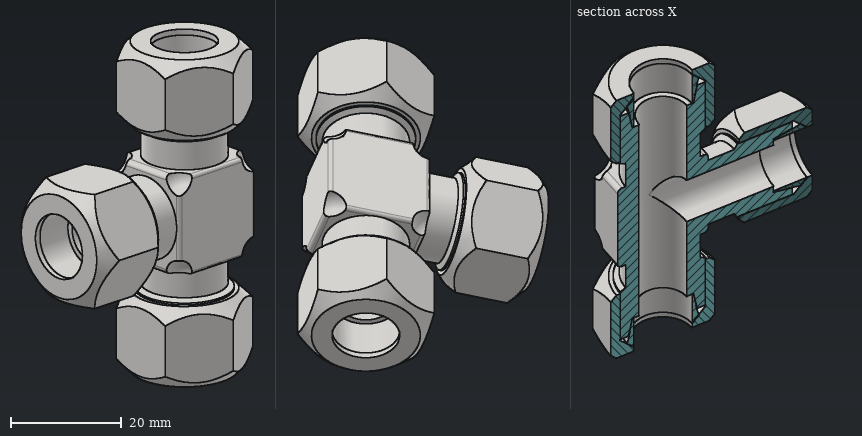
import cadquery as cq
import math


ARM_TURNS = (0, 90, 180)
ARM_REACH = 31.5

TUBE_DIAMETER = 12.2
BORE_DIAMETER = 10.0
TUBE_STOP = ARM_REACH - 8.15

BLOCK_WIDTH = 17.0
BLOCK_SIDE = 19.2
BLOCK_EDGE_RADIUS = 1.0
BLOCK_FACE_RADIUS = 0.7
CORNER_SCOOP_RADIUS = 3.35
STEM_DIAMETER = 15.8
THREAD_DIAMETER = 18.0
THREAD_END = 27.3
THREAD_OVERHANG = 0.35
RUNOUT_ANGLE = 30

NUT_FLATS = 22.0
NUT_LENGTH = 15.5
NUT_FACE_DIAMETER = 19.65
NUT_LIP = 1.15

CONE_HALF_ANGLE = 12
RING_TIP_WALL = 0.3

tube_radius = TUBE_DIAMETER / 2
bore_radius = BORE_DIAMETER / 2
stem_radius = STEM_DIAMETER / 2
thread_radius = THREAD_DIAMETER / 2
nut_corner_radius = NUT_FLATS / math.sqrt(3)
nut_face_radius = NUT_FACE_DIAMETER / 2
nut_base = ARM_REACH - NUT_LENGTH
ring_back = ARM_REACH - NUT_LIP
ring_tip_radius = tube_radius + RING_TIP_WALL
cone_slope = math.tan(math.radians(CONE_HALF_ANGLE))


def cone_radius(height):
    """Radius of the conical seat at a distance along the arm."""
    return ring_tip_radius + (height - TUBE_STOP) * cone_slope


def revolve_about_z(points):
    """Turn a closed (radius, height) outline about the Z axis."""
    return cq.Workplane("XZ").polyline(points).close().revolve(360, (0, 0), (0, 1))


def turn_to_arm(shape, turn):
    """Carry a shape built on the +Z arm to another arm."""
    return shape.rotate((0, 0, 0), (1, 0, 0), turn)


def make_block():
    """Forged centre block with rounded edges and a spherical scoop at each corner."""
    block = cq.Workplane("XY").box(BLOCK_WIDTH, BLOCK_SIDE, BLOCK_SIDE)
    corners = block.vertices().vals()
    block = block.edges("|X").fillet(BLOCK_EDGE_RADIUS)
    block = block.faces("<X or >X").edges().fillet(BLOCK_FACE_RADIUS)
    scoop = cq.Workplane("XY").sphere(CORNER_SCOOP_RADIUS).rotate((0, 0, 0), (0, 0, 1), 45)
    for corner in corners:
        block = block.cut(scoop.translate(corner.Center()))
    return block


def make_arm():
    """Solid arm from the centre of the tee: plain stem, thread runout and thread."""
    thread_start = nut_base - THREAD_OVERHANG
    runout = (thread_radius - stem_radius) * math.tan(math.radians(RUNOUT_ANGLE))
    return revolve_about_z([
        (0, 0),
        (stem_radius, 0),
        (stem_radius, thread_start - runout),
        (thread_radius, thread_start),
        (thread_radius, THREAD_END),
        (0, THREAD_END),
    ])


def make_arm_passage():
    """Bore of an arm, opening into the conical ring seat at the tube stop."""
    return revolve_about_z([
        (0, 0),
        (bore_radius, 0),
        (bore_radius, TUBE_STOP),
        (ring_tip_radius, TUBE_STOP),
        (cone_radius(THREAD_END), THREAD_END),
        (0, THREAD_END),
    ])


def make_tee():
    tee = make_block()
    for turn in ARM_TURNS:
        tee = tee.union(turn_to_arm(make_arm(), turn))
    for turn in ARM_TURNS:
        tee = tee.cut(turn_to_arm(make_arm_passage(), turn))
    return tee


def make_nut():
    """Hexagon nut with chamfered corners, a tube hole and a 45 degree seat above its thread."""
    hexagon = (
        cq.Workplane("XY")
        .workplane(offset=nut_base)
        .polygon(6, 2 * nut_corner_radius)
        .extrude(NUT_LENGTH)
    )
    chamfer = nut_corner_radius - nut_face_radius
    chamfered_envelope = revolve_about_z([
        (0, nut_base),
        (nut_face_radius, nut_base),
        (nut_corner_radius, nut_base + chamfer),
        (nut_corner_radius, ARM_REACH - chamfer),
        (nut_face_radius, ARM_REACH),
        (0, ARM_REACH),
    ])
    seat_depth = thread_radius - tube_radius
    cavity = revolve_about_z([
        (0, nut_base),
        (thread_radius, nut_base),
        (thread_radius, ring_back - seat_depth),
        (tube_radius, ring_back),
        (tube_radius, ARM_REACH),
        (0, ARM_REACH),
    ])
    return hexagon.intersect(chamfered_envelope).cut(cavity)


def make_ring():
    """Cutting ring: its back fits the 45 degree seat of the nut, its front the cone of the tee."""
    rim_depth = (cone_radius(ring_back) - tube_radius) / (1 + cone_slope)
    return revolve_about_z([
        (tube_radius, TUBE_STOP),
        (ring_tip_radius, TUBE_STOP),
        (tube_radius + rim_depth, ring_back - rim_depth),
        (tube_radius, ring_back),
    ])


tee = make_tee()
nuts = [turn_to_arm(make_nut(), turn) for turn in ARM_TURNS]
rings = [turn_to_arm(make_ring(), turn) for turn in ARM_TURNS]

result = cq.Compound.makeCompound([
    tee.val(),
    *[nut.val() for nut in nuts],
    *[ring.val() for ring in rings],
])